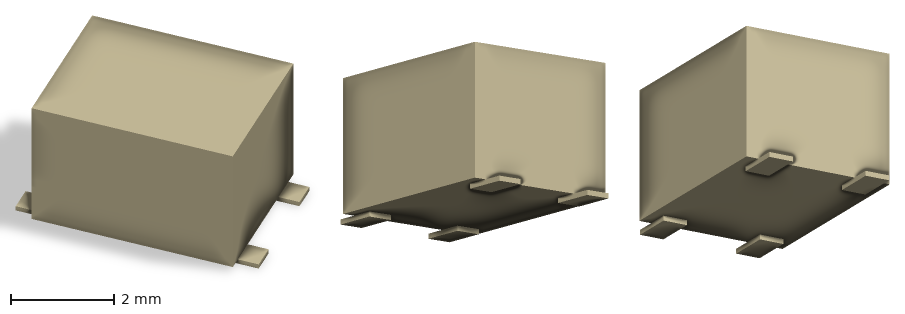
import cadquery as cq

total_length = 5.07
total_height = 2.8

housing_length = 4.2
housing_width = 3.2

lead_length = 0.93
lead_width = 0.52
lead_thickness = 0.1
lead_pitch = 2.15

housing_height = total_height - lead_thickness
lead_center_x = (total_length - lead_length) / 2


def make_housing():
    """Plain block that rests on top of the leads."""
    return (
        cq.Workplane("XY")
        .workplane(offset=lead_thickness)
        .rect(housing_length, housing_width)
        .extrude(housing_height)
    )


def make_lead(center_x, center_y):
    """Flat strip lying on the ground plane, partly under the housing."""
    return (
        cq.Workplane("XY")
        .center(center_x, center_y)
        .rect(lead_length, lead_width)
        .extrude(lead_thickness)
    )


housing = make_housing()
leads = [
    make_lead(side_x * lead_center_x, side_y * lead_pitch / 2)
    for side_x in (-1, 1)
    for side_y in (-1, 1)
]

result = cq.Compound.makeCompound([housing.val(), *[lead.val() for lead in leads]])